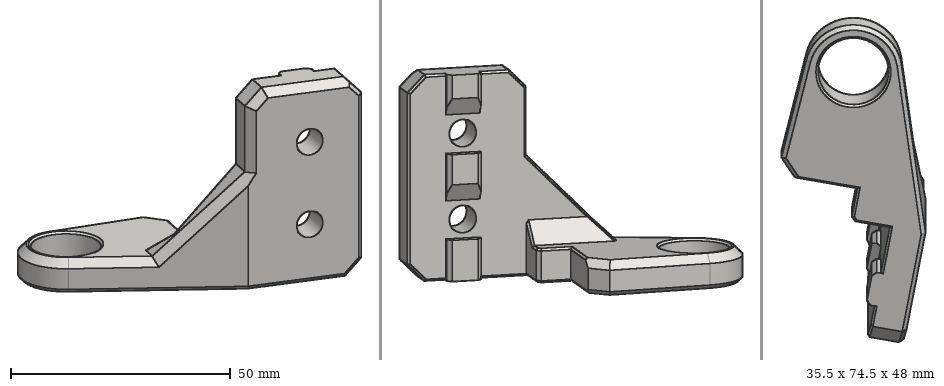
import cadquery as cq
import math

length = 74.5
width = 35.5
height = 48.0

cutter_size = 4 * length

small_chamfer = 0.5
base_chamfer = 1.0
large_chamfer = 2.0

plate_thickness = 8.0
ring_radius = 11.0
ring_x = 12.3
ring_y = ring_radius
ring_bore = 16.0
left_corner_y = 34.6
left_corner_x = 3.7
plate_back_y = 38.6
step_x = 18.3
step_y = 46.5

wall_x = 27.3
corner_cut = 4.0
slope_top_z = 28.0
overlap = 1.5
gusset_leg = 5.0

rail_y = 61.5
rail_width = 8.05
rail_height = 1.9
rail_chamfer = 1.0
rail_slope = 4.0
lower_rail_top = 9.6
middle_rail = (18.5, 29.5)
upper_rail_bottom = 38.4
screw_hole = 6.3
screw_z = (14.0, 34.0)


def tangent_point(x, y, side):
    """Touch point on the ring of a line from (x, y); side is +1 or -1 around the ring."""
    distance = math.hypot(x - ring_x, y - ring_y)
    direction = math.atan2(y - ring_y, x - ring_x)
    angle = direction + side * math.acos(ring_radius / distance)
    return ring_x + ring_radius * math.cos(angle), ring_y + ring_radius * math.sin(angle)


left_touch = tangent_point(0, left_corner_y, 1)
right_touch = tangent_point(width, step_y, -1)


slope_normal = (0, -1, 1)
slant_normal = (step_y - right_touch[1], right_touch[0] - width, 0)
slope_point = (width, step_y, slope_top_z)


def plan_prism(back_points, depth):
    """Prism on the plan outline; back_points close it from the +X side to the left corner."""
    return (
        cq.Workplane("XY")
        .moveTo(0, left_corner_y)
        .lineTo(*left_touch)
        .threePointArc((ring_x, ring_y - ring_radius), right_touch)
        .lineTo(width, step_y)
        .polyline(back_points, includeCurrent=True)
        .close()
        .extrude(depth)
    )


def chamfer_edges(solid, points, size):
    """Chamfer the edges that lie nearest to the given points."""
    edges = [solid.edges(cq.selectors.NearestToPointSelector(point)).val() for point in points]
    return solid.newObject(edges).chamfer(size)


def bevel(solid, point, normal_a, normal_b, size):
    """Equal-leg chamfer of a convex solid at the edge through point between two flat faces."""
    a = cq.Vector(*normal_a).normalized()
    b = cq.Vector(*normal_b).normalized()
    setback = (a * a.dot(b) - b).normalized() * size
    plane = cq.Plane(origin=cq.Vector(*point) + setback, normal=a + b)
    waste = cq.Workplane(plane).rect(cutter_size, cutter_size).extrude(cutter_size)
    return solid.cut(waste)


def midpoint(a, b):
    return (a[0] + b[0]) / 2, (a[1] + b[1]) / 2


def make_plate():
    step_corner = (step_x + base_chamfer, step_y)
    step_side = (step_x, step_y - base_chamfer)
    inner_corner = (step_x, plate_back_y)
    back_left = (left_corner_x, plate_back_y)
    left_corner = (0, left_corner_y)
    right_corner = (width, step_y)
    plate = plan_prism([step_corner, step_side, inner_corner, back_left], plate_thickness)

    outer_middles = [
        midpoint(back_left, left_corner),
        midpoint(left_corner, left_touch),
        (ring_x, 0),
        midpoint(right_touch, right_corner),
    ]
    back_middles = [
        midpoint(right_corner, step_corner),
        midpoint(step_corner, step_side),
        midpoint(step_side, inner_corner),
        midpoint(inner_corner, back_left),
    ]
    for z, outer_size in ((plate_thickness, large_chamfer), (0, base_chamfer)):
        plate = chamfer_edges(plate, [(x, y, z) for x, y in outer_middles], outer_size)
        plate = chamfer_edges(plate, [(x, y, z) for x, y in back_middles], small_chamfer)
    return plate


def make_panel():
    """Upright panel with cut corners; its outline runs anticlockwise in (y, z)."""
    outline = [
        (step_y, 0),
        (length - corner_cut, 0),
        (length, corner_cut),
        (length, height - corner_cut),
        (length - corner_cut, height),
        (step_y + corner_cut, height),
        (step_y, height - corner_cut),
    ]
    outer_sizes = [base_chamfer] * 4 + [large_chamfer] * 3
    panel = cq.Workplane("YZ", origin=(wall_x, 0, 0)).polyline(outline).close().extrude(width - wall_x)
    for start, end, outer_size in zip(outline, outline[1:] + outline[:1], outer_sizes):
        side_normal = (0, end[1] - start[1], start[0] - end[0])
        panel = bevel(panel, (wall_x, *start), (-1, 0, 0), side_normal, small_chamfer)
        panel = bevel(panel, (width, *start), (1, 0, 0), side_normal, outer_size)
    return panel


def trim_brace(block):
    """Cut a block to the slanted side and to the 45 degree slope, and bevel their shared edge."""
    slope = cq.Workplane(cq.Plane(origin=slope_point, xDir=(1, 0, 0), normal=slope_normal))
    block = block.intersect(plan_prism([(width, length), (0, length)], height))
    block = block.cut(slope.rect(cutter_size, cutter_size).extrude(cutter_size))
    return bevel(block, slope_point, slope_normal, slant_normal, large_chamfer)


def make_brace():
    """Sloped foot of the wall that runs from the panel down to the plate."""
    brace_back = step_y + 2 * large_chamfer
    brace = cq.Workplane("XY").box(width - wall_x, brace_back, height, centered=False)
    brace = trim_brace(brace.translate((wall_x, 0, 0)))
    face_edge = (wall_x, step_y, slope_top_z)
    brace = bevel(brace, face_edge, slope_normal, (-1, 0, 0), small_chamfer)
    down = (0, 0, -1)
    brace = bevel(brace, (wall_x, step_y, 0), (-1, 0, 0), down, small_chamfer)
    for side_normal in (slant_normal, (1, 0, 0)):
        brace = bevel(brace, (width, step_y, 0), side_normal, down, base_chamfer)
    return brace


def make_gusset():
    """45 degree wedge between the plate and the wall."""
    foot = (wall_x - gusset_leg - overlap, plate_thickness - overlap)
    top = (wall_x + overlap, plate_thickness + gusset_leg + overlap)
    outline = [foot, top, (width, top[1]), (width, foot[1])]
    gusset = trim_brace(cq.Workplane("XZ").polyline(outline).close().extrude(-step_y))
    face_normal = (-1, 0, 1)
    face_point = (wall_x, step_y, plate_thickness + gusset_leg)
    gusset = bevel(gusset, face_point, face_normal, (0, 1, 0), small_chamfer)
    slope_edge = (wall_x, step_y - slope_top_z + face_point[2], face_point[2])
    return bevel(gusset, slope_edge, face_normal, slope_normal, small_chamfer)


def make_key(bottom, top, slope_rise=0):
    """One length of the rail; slope_rise is the height of its slanted underside."""
    tip_x = wall_x - rail_height
    root_x = wall_x + small_chamfer
    near_y = rail_y - rail_width / 2
    far_y = rail_y + rail_width / 2
    section = [
        (root_x, near_y),
        (tip_x + rail_chamfer, near_y),
        (tip_x, near_y + rail_chamfer),
        (tip_x, far_y - rail_chamfer),
        (tip_x + rail_chamfer, far_y),
        (root_x, far_y),
    ]
    side = [
        (root_x, bottom),
        (wall_x, bottom),
        (tip_x, bottom + slope_rise),
        (tip_x, top),
        (root_x, top),
    ]
    bar = cq.Workplane("XY").polyline(section).close().extrude(height)
    return bar.intersect(cq.Workplane("XZ").polyline(side).close().extrude(-length))


result = make_plate().union(make_panel()).union(make_brace()).union(make_gusset())
result = result.union(make_key(0, lower_rail_top))
result = result.union(make_key(*middle_rail, rail_slope))
result = result.union(make_key(upper_rail_bottom, height, rail_slope))

bore = (
    cq.Workplane("XY")
    .center(ring_x, ring_y)
    .circle(ring_bore / 2)
    .extrude(plate_thickness)
)
result = result.cut(bore)
for rim_z, inward in ((0, 1), (plate_thickness, -1)):
    rim = cq.Solid.makeCone(
        ring_bore / 2 + small_chamfer,
        ring_bore / 2,
        small_chamfer,
        cq.Vector(ring_x, ring_y, rim_z),
        cq.Vector(0, 0, inward),
    )
    result = result.cut(cq.Workplane(rim))

screws = (
    cq.Workplane("YZ")
    .pushPoints([(rail_y, z) for z in screw_z])
    .circle(screw_hole / 2)
    .extrude(width)
)
result = result.cut(screws).clean()